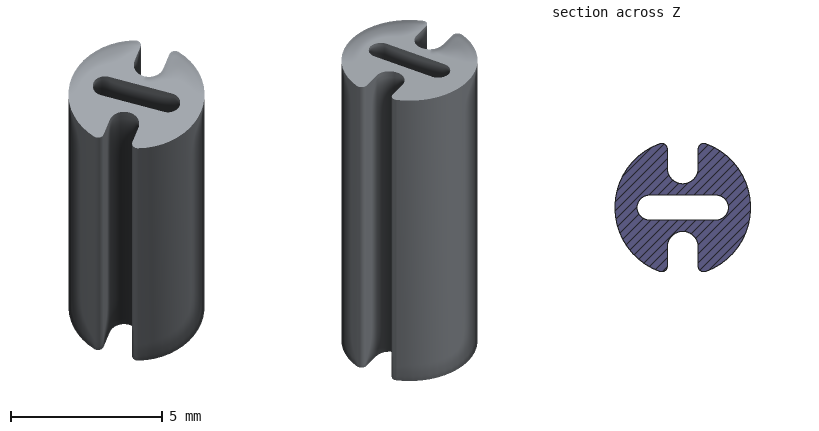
import cadquery as cq

length = 11.5
diameter = 4.5
groove_width = 1.0
groove_floor = 0.79
groove_lip_radius = 0.2
slot_length = 3.0
slot_width = 0.8

radius = diameter / 2
groove_radius = groove_width / 2


def groove_cutter(side):
    """Round-bottomed lengthwise groove, open towards +Y (side=1) or -Y (side=-1)."""
    floor_y = side * groove_floor
    arc_end_y = side * (groove_floor + groove_radius)
    open_y = side * diameter
    return (
        cq.Workplane("XY")
        .moveTo(-groove_radius, open_y)
        .lineTo(-groove_radius, arc_end_y)
        .threePointArc((0, floor_y), (groove_radius, arc_end_y))
        .lineTo(groove_radius, open_y)
        .close()
        .extrude(length)
    )


body = cq.Workplane("XY").circle(radius).extrude(length)
for side in (1, -1):
    body = body.cut(groove_cutter(side))

mouth_y = (radius**2 - groove_radius**2) ** 0.5
half_length = length / 2
for x in (-groove_radius, groove_radius):
    for y in (-mouth_y, mouth_y):
        mouth_edge = cq.selectors.NearestToPointSelector((x, y, half_length))
        body = body.edges("|Z").edges(mouth_edge).fillet(groove_lip_radius)

slot = cq.Workplane("XY").slot2D(slot_length, slot_width).extrude(length)
result = body.cut(slot)